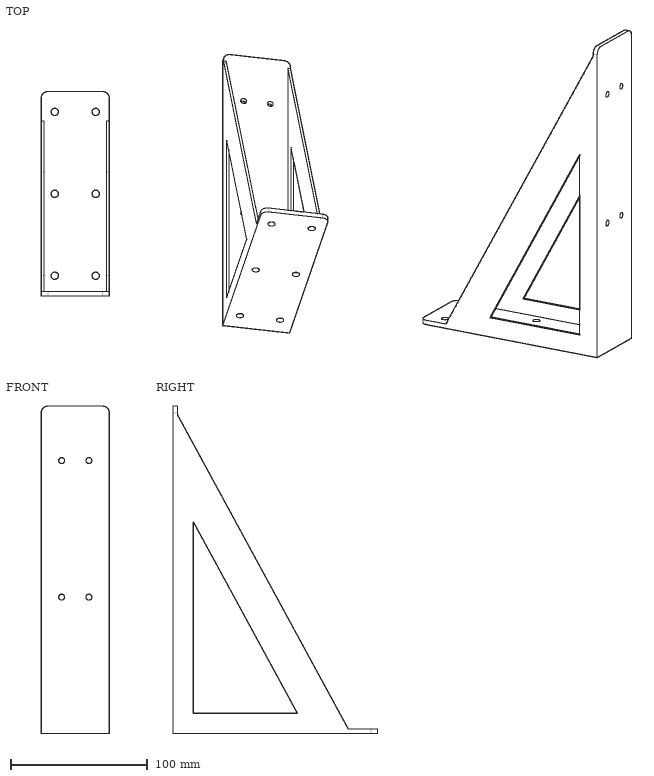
import cadquery as cq

WIDTH = 50.0
DEPTH = 150.0
HEIGHT = 240.0

PLATE_THICKNESS = 3.5
CORNER_RADIUS = 5.0

GUSSET_THICKNESS = 2.0
GUSSET_DEPTH = 125.0
GUSSET_HEIGHT = 230.0
WINDOW_MARGIN = 15.0
WINDOW_HEIGHT = 140.0
WINDOW_DEPTH = WINDOW_HEIGHT * GUSSET_DEPTH / GUSSET_HEIGHT

BASE_HOLE_DIAMETER = 5.2
BASE_HOLE_SPACING_X = 30.0
BASE_HOLE_SPACING_Y = 60.0
BASE_HOLE_ROWS = 3

BACK_HOLE_DIAMETER = 4.2
BACK_HOLE_SPACING_X = 20.0
BACK_HOLE_SPACING_Z = 100.0
BACK_HOLE_ROWS = 2
BACK_HOLE_CENTER_Z = 150.0


def base_plate():
    """Horizontal plate with rounded far corners and screw holes."""
    plate = (
        cq.Workplane("XY")
        .box(WIDTH, DEPTH, PLATE_THICKNESS, centered=(True, False, False))
        .edges("|Z and >Y")
        .fillet(CORNER_RADIUS)
    )
    holes = (
        cq.Workplane("XY", origin=(0, DEPTH / 2, 0))
        .rarray(BASE_HOLE_SPACING_X, BASE_HOLE_SPACING_Y, 2, BASE_HOLE_ROWS)
        .circle(BASE_HOLE_DIAMETER / 2)
        .extrude(PLATE_THICKNESS)
    )
    return plate.cut(holes)


def back_plate():
    """Vertical plate with rounded top corners and screw holes."""
    plate = (
        cq.Workplane("XY")
        .box(WIDTH, PLATE_THICKNESS, HEIGHT, centered=(True, False, False))
        .edges("|Y and >Z")
        .fillet(CORNER_RADIUS)
    )
    holes = (
        cq.Workplane("XZ", origin=(0, 0, BACK_HOLE_CENTER_Z))
        .rarray(BACK_HOLE_SPACING_X, BACK_HOLE_SPACING_Z, 2, BACK_HOLE_ROWS)
        .circle(BACK_HOLE_DIAMETER / 2)
        .extrude(-PLATE_THICKNESS)
    )
    return plate.cut(holes)


def right_triangle(x_start, corner, depth, height):
    """Triangular slab, square corner at (corner, corner) in YZ, one gusset thick along +X."""
    return (
        cq.Workplane("YZ", origin=(x_start, corner, corner))
        .polyline([(0, 0), (depth, 0), (0, height)])
        .close()
        .extrude(GUSSET_THICKNESS)
    )


def gusset(x_start):
    """Triangular side wall filling the corner between the plates, with its window."""
    wall = right_triangle(x_start, PLATE_THICKNESS, GUSSET_DEPTH, GUSSET_HEIGHT)
    window = right_triangle(x_start, WINDOW_MARGIN, WINDOW_DEPTH, WINDOW_HEIGHT)
    return wall.cut(window)


result = base_plate().union(back_plate())
for gusset_x in (-WIDTH / 2, WIDTH / 2 - GUSSET_THICKNESS):
    result = result.union(gusset(gusset_x))